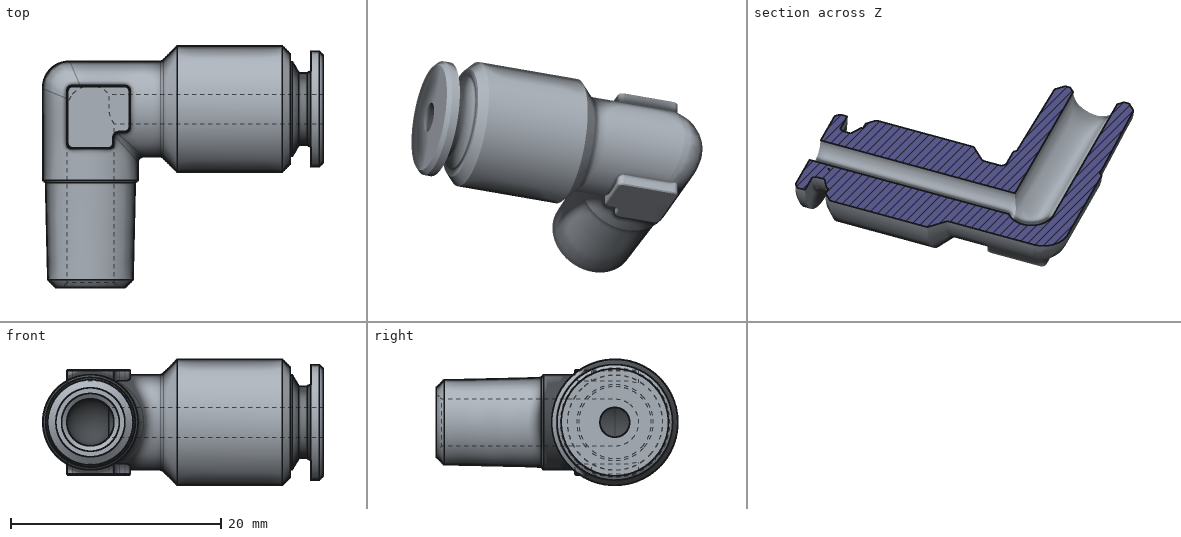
import cadquery as cq


arm_radius = 4.53
outer_corner_radius = 2.5
crotch_radius = 0.5
elbow_reach = 6.0

overall_length = 26.67
tube_end = overall_length - arm_radius
sleeve_radius = 6.0
sleeve_start = 8.27
sleeve_end = 19.02
sleeve_end_chamfer = 0.8
neck_fillet = 0.4

button_lip_radius = 4.5
button_lip_length = 0.15
button_cone_end = 19.82
button_neck_radius = 3.45
button_neck_end = 20.62
flange_start = 20.95
flange_root_radius = 3.63
flange_radius = 5.5
flange_chamfer = 0.4

thread_end = 17.0
shoulder_distance = 6.77
thread_start = 7.0
thread_root_radius = 4.27
thread_tip_radius = 4.05
thread_chamfer = 0.77

thread_bore_radius = 2.25
thread_bore_chamfer = 0.5
tube_bore_radius = 1.41

pad_size = 6.03
pad_offset = 2.25
pad_height = 5.01
pad_corner_radius = 0.5
pad_edge_chamfer = 0.1


def make_elbow():
    """Two equal cylinders mitred at 45 degrees."""
    mitre_reach = 2 * arm_radius
    arm_length = arm_radius + elbow_reach
    tube_arm = cq.Workplane("YZ", origin=(-arm_radius, 0, 0)).circle(arm_radius).extrude(arm_length)
    thread_arm = cq.Workplane("XZ", origin=(0, arm_radius, 0)).circle(arm_radius).extrude(arm_length)
    tube_side = (
        cq.Workplane("XY")
        .moveTo(-mitre_reach, mitre_reach)
        .lineTo(mitre_reach, mitre_reach)
        .lineTo(mitre_reach, -mitre_reach)
        .close()
        .extrude(mitre_reach, both=True)
    )
    return tube_arm.intersect(tube_side).union(thread_arm.cut(tube_side))


def make_pads():
    """Square plate crossing the elbow, showing as a notched pad above and below it."""
    pad_far = pad_size - pad_offset
    outline = (
        cq.Workplane("XY")
        .moveTo(-pad_offset, pad_offset)
        .lineTo(pad_far, pad_offset)
        .lineTo(pad_far, -pad_offset)
        .lineTo(pad_offset, -pad_offset)
        .lineTo(pad_offset, -pad_far)
        .lineTo(-pad_offset, -pad_far)
        .close()
    )
    plate = outline.extrude(pad_height, both=True)
    return plate.edges("|Z").fillet(pad_corner_radius).faces("|Z").edges().chamfer(pad_edge_chamfer)


def round_mitre(body):
    """Round the outside corner and the crotch where the mitre shows beyond the pads."""
    mitre = cq.selectors.TypeSelector("ELLIPSE")
    crotch = mitre & cq.selectors.BoxSelector((0, 0, -arm_radius), (arm_radius, -arm_radius, arm_radius))
    outer = mitre & cq.selectors.BoxSelector((-arm_radius, 0, -arm_radius), (0, arm_radius, arm_radius))
    return body.edges(crotch).fillet(crotch_radius).edges(outer).fillet(outer_corner_radius)


def make_sleeve():
    """Tube sleeve and release button, turned about the X axis."""
    cone_start = sleeve_start - (sleeve_radius - arm_radius)
    sleeve_end_radius = sleeve_radius - sleeve_end_chamfer
    lip_end = sleeve_end + button_lip_length
    sleeve = (
        cq.Workplane("XY")
        .moveTo(elbow_reach, 0)
        .lineTo(elbow_reach, arm_radius)
        .lineTo(cone_start, arm_radius)
        .lineTo(sleeve_start, sleeve_radius)
        .lineTo(sleeve_end - sleeve_end_chamfer, sleeve_radius)
        .lineTo(sleeve_end, sleeve_end_radius)
        .lineTo(sleeve_end, button_lip_radius)
        .lineTo(lip_end, button_lip_radius)
        .lineTo(button_cone_end, button_neck_radius)
        .lineTo(button_neck_end, button_neck_radius)
        .lineTo(flange_start, flange_root_radius)
        .lineTo(flange_start, flange_radius)
        .lineTo(tube_end - flange_chamfer, flange_radius)
        .lineTo(tube_end, flange_radius - flange_chamfer)
        .lineTo(tube_end, 0)
        .close()
        .revolve(360, (0, 0, 0), (1, 0, 0))
    )
    cone_root = cq.selectors.BoxSelector(
        (cone_start - neck_fillet, -arm_radius, -arm_radius),
        (cone_start + neck_fillet, arm_radius, arm_radius),
    )
    return sleeve.edges(cq.selectors.TypeSelector("CIRCLE") & cone_root).fillet(neck_fillet)


def make_thread():
    """Tapered thread blank, turned about the Y axis."""
    return (
        cq.Workplane("XY")
        .moveTo(0, -elbow_reach)
        .lineTo(arm_radius, -elbow_reach)
        .lineTo(arm_radius, -shoulder_distance)
        .lineTo(thread_root_radius, -thread_start)
        .lineTo(thread_tip_radius, thread_chamfer - thread_end)
        .lineTo(thread_tip_radius - thread_chamfer, -thread_end)
        .lineTo(0, -thread_end)
        .close()
        .revolve(360, (0, 0, 0), (0, 1, 0))
    )


def make_passages():
    """Thread bore with a domed end and chamfered mouth, crossed by the tube bore."""
    thread_bore = (
        cq.Workplane("XY")
        .moveTo(0, -thread_end)
        .lineTo(thread_bore_radius + thread_bore_chamfer, -thread_end)
        .lineTo(thread_bore_radius, thread_bore_chamfer - thread_end)
        .lineTo(thread_bore_radius, 0)
        .radiusArc((0, thread_bore_radius), -thread_bore_radius)
        .close()
        .revolve(360, (0, 0, 0), (0, 1, 0))
    )
    tube_bore = cq.Workplane("YZ").circle(tube_bore_radius).extrude(tube_end)
    return thread_bore.union(tube_bore)


body = round_mitre(make_elbow().union(make_pads()))
body = body.union(make_sleeve()).union(make_thread())
result = body.cut(make_passages())